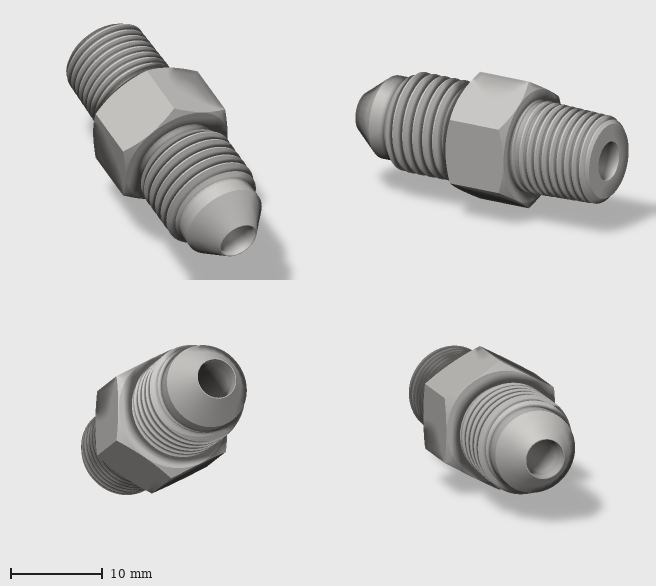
import cadquery as cq
import math

INCH = 25.4
total_length = 30.99
bore_diameter = 4.37

hex_across_flats = 12.7
hex_start = 9.62
hex_end = 17.04
hex_face_diameter = 12.6
hex_chamfer_angle = 30.0

pipe_pitch = INCH / 27
pipe_taper = 1 / 32
pipe_crest_radius = 4.865
pipe_thread_depth = 0.455
pipe_crest_flat = 0.2
pipe_face_radius = 4.17
pipe_groove_start = -0.90
pipe_runout_start = 7.0
pipe_runout_start_radius = 4.55
pipe_runout_end_radius = 5.10

flare_pitch = INCH / 20
flare_major_radius = 7 / 16 * INCH / 2
flare_root_radius = 9.46 / 2
flare_crest_flat = flare_pitch / 8
flare_thread_start = 17.93
flare_thread_end = 25.95
flare_groove_start = 16.90

nose_radius = 9.28 / 2
nose_cone_start = 27.85
nose_cone_angle = 37.0

thread_half_angle = math.radians(30)
trim_reach = 8.0
blank_margin = 3.0
groove_overshoot = 0.05


def revolve_about_x(outline):
    """Revolve (x, radius) points about X; the outline is closed along the axis."""
    closed = [(outline[0][0], 0), *outline, (outline[-1][0], 0)]
    return cq.Workplane("XY").polyline(closed).close().revolve(360, (0, 0, 0), (1, 0, 0))


def thread_groove(start, end, pitch, crest_radius, depth, crest_flat, taper=0.0):
    """Right-hand V groove; crest_radius is the thread's radius at start, on the -Z side."""
    inner = crest_radius - depth
    outer = crest_radius + groove_overshoot
    crest_half_width = (pitch - crest_flat) / 2
    slope = math.tan(thread_half_angle)
    inner_half_width = crest_half_width - depth * slope
    outer_half_width = crest_half_width + groove_overshoot * slope
    if taper:
        helix = cq.Wire.makeHelix(pitch, end - start, inner, angle=math.degrees(math.atan(taper)))
    else:
        helix = cq.Wire.makeHelix(pitch, end - start, inner)
    section = cq.Workplane("XZ").polyline([
        (inner, -inner_half_width),
        (outer, -outer_half_width),
        (outer, outer_half_width),
        (inner, inner_half_width),
    ]).close()
    groove = section.sweep(cq.Workplane(obj=helix), isFrenet=True)
    return groove.rotate((0, 0, 0), (0, 1, 0), 90).translate((start, 0, 0))


def end_trim(x, radius, direction):
    """Trims a thread to length at x with a 45 degree chamfer; direction points off the thread's end."""
    far_x = x + direction * trim_reach
    outer_radius = radius + trim_reach
    inside_x = x - direction * trim_reach
    outline = [(x, radius), (inside_x, outer_radius), (far_x, outer_radius)]
    return revolve_about_x(outline)


def pipe_crest_at(x):
    return pipe_crest_radius + pipe_taper * x


def pipe_end():
    groove_end = hex_start + pipe_pitch
    blank_start = pipe_groove_start - blank_margin
    blank_end = groove_end + blank_margin
    blank = revolve_about_x([
        (blank_start, pipe_crest_at(blank_start)),
        (blank_end, pipe_crest_at(blank_end)),
    ])
    groove = thread_groove(
        pipe_groove_start, groove_end, pipe_pitch,
        pipe_crest_at(pipe_groove_start), pipe_thread_depth, pipe_crest_flat, pipe_taper,
    )
    face_trim = end_trim(0, pipe_face_radius, -1)
    hex_trim = revolve_about_x([(hex_start, hex_across_flats), (blank_end, hex_across_flats)])
    thread = blank.cut(groove).cut(face_trim).cut(hex_trim)
    runout = revolve_about_x([
        (pipe_runout_start, pipe_runout_start_radius),
        (hex_start, pipe_runout_end_radius),
    ])
    return thread.union(runout)


def flare_end():
    groove_end = flare_thread_end + flare_pitch
    blank_start = flare_groove_start - blank_margin
    blank_end = groove_end + blank_margin
    blank = revolve_about_x([(blank_start, flare_major_radius), (blank_end, flare_major_radius)])
    groove = thread_groove(
        flare_groove_start, groove_end, flare_pitch,
        flare_major_radius, flare_major_radius - flare_root_radius, flare_crest_flat,
    )
    start_trim = end_trim(flare_thread_start, nose_radius, -1)
    finish_trim = end_trim(flare_thread_end, nose_radius, 1)
    thread = blank.cut(groove).cut(start_trim).cut(finish_trim)
    tip_radius = nose_radius - (total_length - nose_cone_start) * math.tan(math.radians(nose_cone_angle))
    nose = revolve_about_x([
        (hex_end, nose_radius),
        (nose_cone_start, nose_radius),
        (total_length, tip_radius),
    ])
    return thread.union(nose)


def hexagon():
    length = hex_end - hex_start
    corner_radius = hex_across_flats / math.sqrt(3)
    face_radius = hex_face_diameter / 2
    clear_radius = hex_across_flats
    cone_length = (clear_radius - face_radius) * math.tan(math.radians(hex_chamfer_angle))
    prism = (
        cq.Workplane("YZ", origin=(hex_start, 0, 0))
        .polygon(6, 2 * corner_radius)
        .extrude(length)
        .rotate((0, 0, 0), (1, 0, 0), 90)
    )
    turned_blank = revolve_about_x([
        (hex_start, face_radius),
        (hex_start + cone_length, clear_radius),
        (hex_end - cone_length, clear_radius),
        (hex_end, face_radius),
    ])
    return prism.intersect(turned_blank)


bore = cq.Workplane("YZ").circle(bore_diameter / 2).extrude(total_length)
result = hexagon().union(pipe_end()).union(flare_end()).cut(bore)